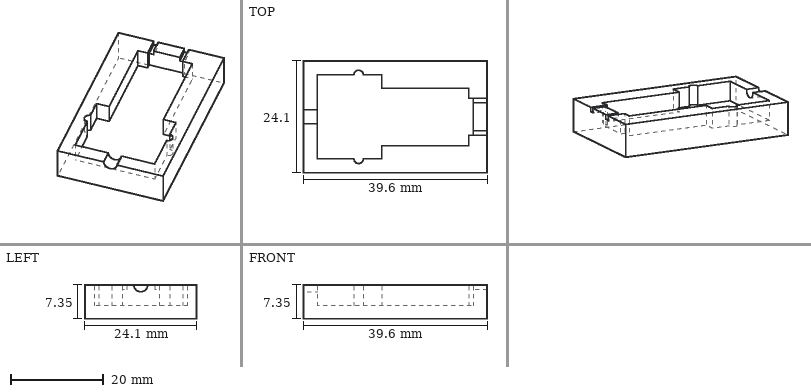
import cadquery as cq

length = 39.6
width = 24.1
height = 7.35
wall = 3.0

pocket_depth = 4.35
wide_end = 16.9
narrow_width = 12.4
narrow_end_wall = 4.0
wide_width = width - 2 * wall

relief_radius = 1.0
relief_position = 11.9

groove_radius = 1.5

recess_width = 8.0
tongue_width = 6.0
slot_depth = 1.0
slot_width = (recess_width - tongue_width) / 2

left = -length / 2
right = length / 2
pocket_floor = height - pocket_depth


def box_between(x_start, x_end, y_center, y_width, z_floor):
    """Cutting box from z_floor up to the top face."""
    return (
        cq.Workplane("XY", origin=((x_start + x_end) / 2, y_center, z_floor))
        .box(x_end - x_start, y_width, height - z_floor, centered=(True, True, False))
    )


def pocket():
    """Wide part, narrow part and end recess, all with one floor."""
    step = left + wide_end
    narrow_end = right - narrow_end_wall
    wide = box_between(left + wall, step, 0, wide_width, pocket_floor)
    narrow = box_between(left + wall, narrow_end, 0, narrow_width, pocket_floor)
    recess = box_between(left + wall, right - wall, 0, recess_width, pocket_floor)
    return wide.union(narrow).union(recess)


def wall_reliefs():
    """Upright cylinders centred on the two long walls of the wide part."""
    return (
        cq.Workplane("XY", origin=(left + relief_position, 0, pocket_floor))
        .pushPoints([(0, -wide_width / 2), (0, wide_width / 2)])
        .circle(relief_radius)
        .extrude(pocket_depth)
    )


def end_groove():
    """Cylinder along X with its axis on the top face."""
    return cq.Workplane("YZ", origin=(left, 0, height)).circle(groove_radius).extrude(wall)


def tongue_slot(side):
    """Shallow slot through the +X wall, on one side of the tongue."""
    y_center = side * (tongue_width + slot_width) / 2
    return box_between(right - wall, right, y_center, slot_width, height - slot_depth)


block = cq.Workplane("XY").box(length, width, height, centered=(True, True, False))
result = block.cut(pocket()).cut(wall_reliefs()).cut(end_groove())
for side in (-1, 1):
    result = result.cut(tongue_slot(side))